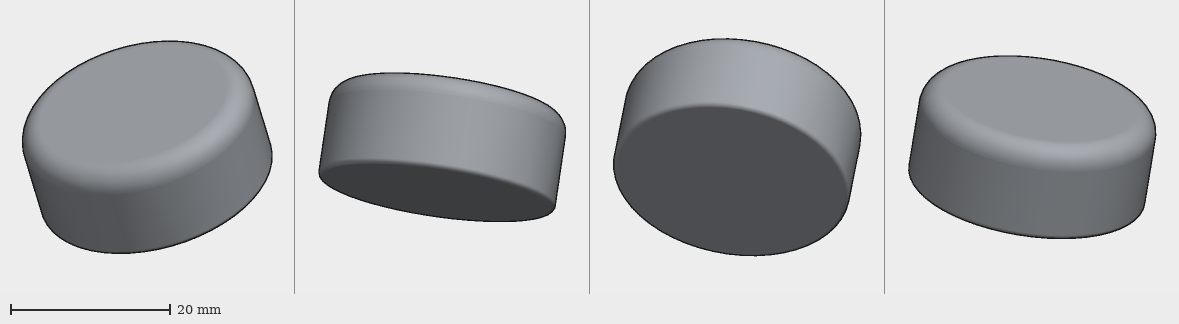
import cadquery as cq

diameter = 30.0
height = 12.32
top_radius = 2.8
bottom_radius = 0.6
tilt_angle = 15

knob = cq.Workplane("XY").circle(diameter / 2).extrude(height)
knob = knob.faces(">Z").edges().fillet(top_radius)
knob = knob.faces("<Z").edges().fillet(bottom_radius)

result = knob.rotate((0, 0, 0), (1, 0, 0), tilt_angle)